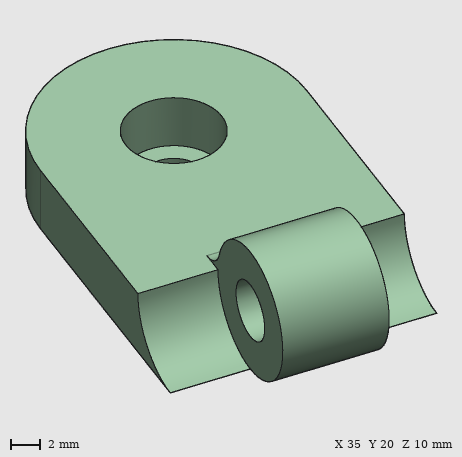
import cadquery as cq
import math

length = 35.0
plate_width = 20.0
end_radius = plate_width / 2
barrel_radius = plate_width / 4
plate_thickness = barrel_radius
barrel_x = length - barrel_radius
barrel_z = plate_thickness
knuckle_width = 7.98
pin_hole_diameter = 4.4
fillet_radius = 2.0
screw_hole_diameter = 4.4
counterbore_diameter = 7.2
counterbore_depth = 4.1


def along_y(width):
    """XZ sketch plane whose extrusion by width is centred on Y = 0."""
    return cq.Workplane("XZ", origin=(0, width / 2, 0))


def make_plate():
    """Flat leaf with one rounded end and a concave seat at the hinge end."""
    round_end = cq.Workplane("XY").center(end_radius, 0).circle(end_radius).extrude(plate_thickness)
    body = cq.Workplane("XY").box(
        barrel_x - end_radius, plate_width, plate_thickness, centered=(False, True, False)
    ).translate((end_radius, 0, 0))
    seat = along_y(plate_width).center(barrel_x, barrel_z).circle(barrel_radius).extrude(plate_width)
    return round_end.union(body).cut(seat)


def make_knuckle():
    """Central hinge barrel with a web that blends it into the plate top."""
    barrel = along_y(knuckle_width).center(barrel_x, barrel_z).circle(barrel_radius).extrude(knuckle_width)

    center_distance = barrel_radius + fillet_radius
    blend_x = barrel_x - math.sqrt(center_distance**2 - fillet_radius**2)
    blend_z = plate_thickness + fillet_radius
    barrel_angle = math.atan2(barrel_z - blend_z, barrel_x - blend_x)
    middle_angle = (barrel_angle - math.pi / 2) / 2

    def blend_point(angle):
        return (blend_x + fillet_radius * math.cos(angle), blend_z + fillet_radius * math.sin(angle))

    web = (
        along_y(knuckle_width)
        .moveTo(blend_x, plate_thickness)
        .threePointArc(blend_point(middle_angle), blend_point(barrel_angle))
        .lineTo(barrel_x, barrel_z)
        .lineTo(barrel_x, 0)
        .lineTo(blend_x, 0)
        .close()
        .extrude(knuckle_width)
    )
    return barrel.union(web)


part = make_plate().union(make_knuckle())

pin_hole = (
    along_y(knuckle_width).center(barrel_x, barrel_z).circle(pin_hole_diameter / 2).extrude(knuckle_width)
)
part = part.cut(pin_hole)

screw_hole = cq.Workplane("XY").center(end_radius, 0).circle(screw_hole_diameter / 2).extrude(plate_thickness)
counterbore = (
    cq.Workplane("XY", origin=(end_radius, 0, plate_thickness))
    .circle(counterbore_diameter / 2)
    .extrude(-counterbore_depth)
)
result = part.cut(screw_hole).cut(counterbore)